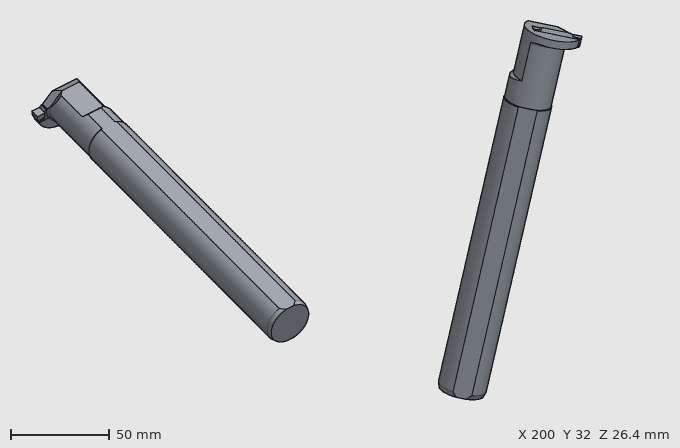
import cadquery as cq

tool_length = 200.0
tool_width = 32.0
face_x = 0.2

shank_diameter = 25.0
width_across_flats = 23.0
shank_radius = shank_diameter / 2
flat_height = width_across_flats / 2
end_chamfer_length = 2.5
end_chamfer_depth = 0.8

neck_diameter = 24.4
neck_radius = neck_diameter / 2
neck_end = 40.0
neck_step_length = 0.4

head_diameter = 29.8
head_radius = head_diameter / 2
head_center_y = -4.4
flange_back = 4.4
flange_fillet = 1.2
relief_end = 26.4
relief_flare = 3.0
head_top = 10.2

nose_length = 5.2
nose_drop = 2.8

clearance_angle = 45.0
clearance_distance = 10.2
clearance_length = 5.2
clearance_run = 3.2
clearance_rise = 2.2

insert_length = 26.0
insert_right = shank_radius - tool_width
insert_left = insert_right + insert_length
insert_bottom = -5.5
insert_flank = 1.4
tip_top = 0.0
tip_land_height = 2.4
tip_land_lean = 0.2
tip_length = 4.8
tip_width = 5.0
tip_corner = -3.2
tip_bottom = -4.2
tip_toe = 1.0
web_top = 1.4
web_slope_run = 1.0

cut_size = 80.0


def cylinder(start, end, radius, center_y=0.0):
    """Cylinder along X between two stations."""
    return cq.Workplane("YZ", origin=(start, center_y, 0)).circle(radius).extrude(end - start)


def extrude_yz(points, start, end):
    """Closed YZ outline extruded along X between two stations."""
    return cq.Workplane("YZ", origin=(start, 0, 0)).polyline(points).close().extrude(end - start)


def extrude_xz(points):
    """Closed XZ outline extruded through the whole section."""
    return cq.Workplane("XZ").polyline(points).close().extrude(cut_size / 2, both=True)


def make_insert():
    """Thin web with a wider cutting tip at each end."""
    inner_right = insert_right + tip_length
    inner_left = insert_left - tip_length
    land_bottom = tip_top - tip_land_height
    outline = [
        (insert_right, tip_top),
        (inner_right, tip_top),
        (inner_right + web_slope_run, web_top),
        (inner_left - web_slope_run, web_top),
        (inner_left, tip_top),
        (insert_left, tip_top),
        (insert_left - tip_land_lean, land_bottom),
        (insert_left - insert_flank, insert_bottom),
        (insert_right + insert_flank, insert_bottom),
        (insert_right + tip_land_lean, land_bottom),
    ]
    insert = extrude_yz(outline, face_x, flange_back)
    for outer, inner, direction in ((insert_right, inner_right, 1), (insert_left, inner_left, -1)):
        tip = [
            (outer, tip_top),
            (inner, tip_top),
            (inner, tip_corner),
            (outer + direction * tip_toe, tip_bottom),
            (outer + direction * tip_land_lean, land_bottom),
        ]
        insert = insert.union(extrude_yz(tip, 0, tip_width))
    return insert


def make_bar():
    """Neck with its front fillet, small conical step and chamfered shank turned about the tool axis."""
    bar = (
        cq.Workplane("XY")
        .moveTo(face_x, 0)
        .lineTo(face_x, neck_radius + flange_fillet)
        .lineTo(flange_back, neck_radius + flange_fillet)
        .radiusArc((flange_back + flange_fillet, neck_radius), -flange_fillet)
        .lineTo(neck_end, neck_radius)
        .lineTo(neck_end + neck_step_length, shank_radius)
        .lineTo(tool_length - end_chamfer_length, shank_radius)
        .lineTo(tool_length, shank_radius - end_chamfer_depth)
        .lineTo(tool_length, 0)
        .close()
        .revolve(360, (0, 0), (1, 0))
    )
    top_cut = extrude_xz([
        (0, flat_height),
        (tool_length, flat_height),
        (tool_length, cut_size),
        (0, cut_size),
    ])
    bottom_cut = extrude_xz([
        (neck_end, -flat_height),
        (tool_length, -flat_height),
        (tool_length, -cut_size),
        (neck_end, -cut_size),
    ])
    return bar.cut(top_cut).cut(bottom_cut)


def make_head_envelope():
    """Eccentric cylinder that flares at 45 degrees until it clears the neck."""
    flare_end = relief_end + relief_flare
    profile = [
        (0, 0),
        (0, head_radius),
        (relief_end, head_radius),
        (flare_end, head_radius + relief_flare),
        (flare_end, cut_size),
        (tool_length, cut_size),
        (tool_length, 0),
    ]
    envelope = cq.Workplane("XY").polyline(profile).close().revolve(360, (0, 0), (1, 0))
    return envelope.translate((0, head_center_y, 0))


def make_top_cut():
    """Sloped nose, lowered head flat and its 45 degree run-out."""
    run_out = cut_size - head_top
    return extrude_xz([
        (0, head_top - nose_drop),
        (nose_length, head_top),
        (relief_end, head_top),
        (relief_end + run_out, cut_size),
        (0, cut_size),
    ])


def make_chip_clearance():
    """Slanted relief at the nose, with a sloping back wall."""
    wall_end = clearance_length + clearance_run
    wall_top = clearance_distance + clearance_rise
    cutter = extrude_xz([
        (0, clearance_distance),
        (clearance_length, clearance_distance),
        (wall_end, wall_top),
        (wall_end, cut_size),
        (0, cut_size),
    ])
    return cutter.rotate((0, 0, 0), (1, 0, 0), clearance_angle)


def make_holder(insert):
    flange = cylinder(face_x, flange_back, head_radius, head_center_y)
    tip_gap = (
        cq.Workplane("XY")
        .box(flange_back, cut_size, tip_top - insert_bottom, centered=(False, False, False))
        .translate((0, insert_right + tip_length - cut_size, insert_bottom))
    )
    holder = make_bar().intersect(make_head_envelope()).union(flange)
    return holder.cut(make_top_cut()).cut(make_chip_clearance()).cut(tip_gap).cut(insert)


grooving_insert = make_insert()
holder = make_holder(grooving_insert)

result = cq.Compound.makeCompound([holder.val(), grooving_insert.val()])